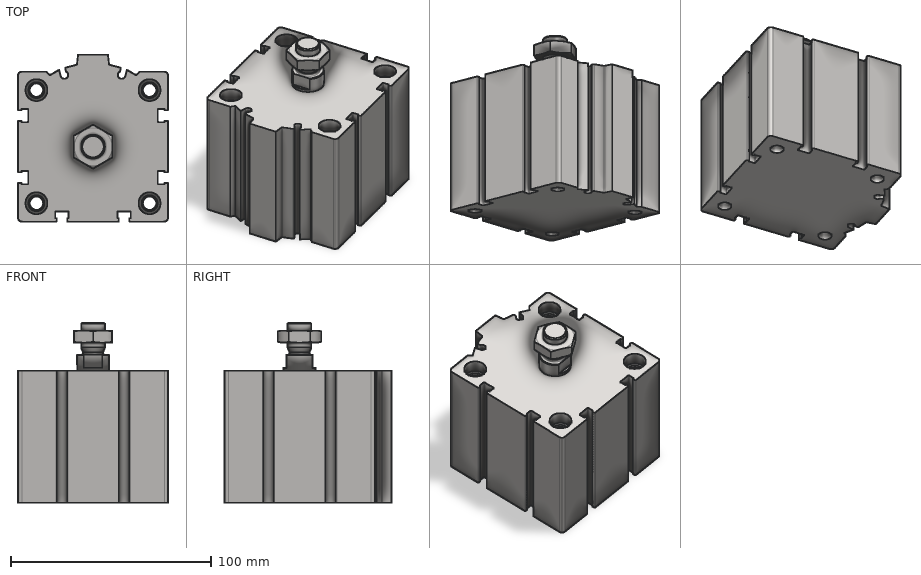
import cadquery as cq
import math

block_width = 75.0
half_width = block_width / 2
block_height = 66.0
rail_top_y = 46.0
corner_radius = 2.0

slot_offset = 15.5
slot_depth = 5.1
slot_inner_width = 6.5
slot_mouth_width = 5.2
slot_lip_depth = 1.8
slot_lip_radius = 0.4
slot_lip_back_radius = 0.3
slot_floor_radius = 0.3

rail_top_half_width = 7.5
rail_foot_half_width = 8.1
rail_foot_y = 41.0
rail_foot_radius = 0.5
shoulder_angle = math.radians(15)

groove_center_x = 14.3
groove_center_y = 35.8
groove_radius = 1.85
groove_mouth_width = 3.0
groove_length = 6.0
groove_lip_radius = 0.5

land_angle = math.radians(30)
notch_bottom_x = 21.6
notch_bottom_y = 35.7

bolt_spacing = 56.5
bolt_head_diameter = 11.0
bolt_head_depth = 6.8
thread_entry_diameter = 8.0
bolt_hole_diameter = 6.65

collar_diameter = 16.0
collar_height = 8.0
collar_chamfer = 0.3
flat_width = 13.0
flat_base_height = 1.4
neck_diameter = 10.2
neck_height = 1.25
neck_fillet = 0.65
taper_height = 2.35
thread_diameter = 12.0
thread_tip_diameter = 10.65
rod_length = 24.0

nut_sides = 6
nut_width = 19.0
nut_height = 6.0
nut_base_z = block_height + 14.0
nut_chamfer_angle = math.radians(15)


def block_outline():
    """Plate with the rail, shoulders, lands and V notches on its +Y side."""
    shoulder_end_y = rail_foot_y - (groove_center_x - rail_foot_half_width) * math.tan(shoulder_angle)
    land_inner_y = notch_bottom_y + (notch_bottom_x - groove_center_x) * math.tan(land_angle)
    notch_top_x = notch_bottom_x + half_width - notch_bottom_y
    right_side = [
        (rail_top_half_width, rail_top_y),
        (rail_foot_half_width, rail_foot_y),
        (groove_center_x, shoulder_end_y),
        (groove_center_x, land_inner_y),
        (notch_bottom_x, notch_bottom_y),
        (notch_top_x, half_width),
        (half_width, half_width),
        (half_width, -half_width),
    ]
    left_side = [(-x, y) for x, y in reversed(right_side)]
    return cq.Workplane("XY").polyline(right_side + left_side).close()


def fillet_edges_at(body, points, radius):
    """Round the vertical edges that pass through the given points."""
    reach = 0.05
    for x, y in points:
        box = cq.selectors.BoxSelector((x - reach, y - reach, -1), (x + reach, y + reach, block_height + 1))
        body = body.edges("|Z").edges(box).fillet(radius)
    return body


def t_slot(side_angle, offset):
    """Cutter for one T-slot, in the side whose outward normal is at side_angle from +X."""
    lip_x = half_width - slot_lip_depth
    floor_x = half_width - slot_depth
    mouth = slot_mouth_width / 2
    inner = slot_inner_width / 2
    r = slot_lip_radius
    flare = mouth + r
    bend = r * (1 - math.sqrt(0.5))
    cutter = (
        cq.Workplane("XY")
        .moveTo(floor_x, -inner)
        .lineTo(lip_x, -inner)
        .lineTo(lip_x, -mouth)
        .lineTo(half_width - r, -mouth)
        .threePointArc((half_width - bend, -mouth - bend), (half_width, -flare))
        .lineTo(half_width, flare)
        .threePointArc((half_width - bend, mouth + bend), (half_width - r, mouth))
        .lineTo(lip_x, mouth)
        .lineTo(lip_x, inner)
        .lineTo(floor_x, inner)
        .close()
        .extrude(block_height)
    )
    cutter = fillet_edges_at(cutter, [(lip_x, -mouth), (lip_x, mouth)], slot_lip_back_radius)
    cutter = fillet_edges_at(cutter, [(floor_x, -inner), (floor_x, inner)], slot_floor_radius)
    return cutter.translate((0, offset, 0)).rotate((0, 0, 0), (0, 0, 1), side_angle)


def sensor_groove():
    """Cutter for the keyhole groove in the +X half; its outer wall is tangent to the round bottom."""
    inner_wall = groove_radius - groove_mouth_width
    bore = cq.Workplane("XY").circle(groove_radius).extrude(block_height)
    mouth = (
        cq.Workplane("XY")
        .center(groove_radius - groove_mouth_width / 2, groove_length / 2)
        .rect(groove_mouth_width, groove_length)
        .extrude(block_height)
    )
    throat = (inner_wall, math.sqrt(groove_radius**2 - inner_wall**2))
    cutter = fillet_edges_at(bore.union(mouth), [throat], groove_lip_radius)
    cutter = cutter.rotate((0, 0, 0), (0, 0, 1), -math.degrees(shoulder_angle))
    return cutter.translate((groove_center_x, groove_center_y, 0))


def groove_lip_tip():
    """Point in the +X half where the groove's inner wall meets the sloped shoulder."""
    sine = math.sin(shoulder_angle)
    cosine = math.cos(shoulder_angle)
    across = groove_radius - groove_mouth_width
    along = (rail_foot_half_width - groove_center_x) * sine + (rail_foot_y - groove_center_y) * cosine
    x = groove_center_x + across * cosine + along * sine
    y = groove_center_y - across * sine + along * cosine
    return x, y


def bolt_hole_cutter():
    """Through hole with a counterbore and a 45 degree thread entry below it."""
    head = bolt_head_diameter / 2
    entry = thread_entry_diameter / 2
    hole = bolt_hole_diameter / 2
    floor_z = block_height - bolt_head_depth
    profile = [
        (0, 0),
        (hole, 0),
        (hole, floor_z - (entry - hole)),
        (entry, floor_z),
        (head, floor_z),
        (head, block_height),
        (0, block_height),
    ]
    return cq.Workplane("XZ").polyline(profile).close().revolve(360, (0, 0), (0, 1))


def make_block():
    block = block_outline().extrude(block_height)
    corners = [(x, y) for x in (-half_width, half_width) for y in (-half_width, half_width)]
    block = fillet_edges_at(block, corners, corner_radius)
    rail_feet = [(side * rail_foot_half_width, rail_foot_y) for side in (-1, 1)]
    block = fillet_edges_at(block, rail_feet, rail_foot_radius)

    for side_angle in (0, 180, 270):
        for offset in (-slot_offset, slot_offset):
            block = block.cut(t_slot(side_angle, offset))

    groove = sensor_groove()
    block = block.cut(groove).cut(groove.mirror("YZ"))
    tip_x, tip_y = groove_lip_tip()
    block = fillet_edges_at(block, [(-tip_x, tip_y), (tip_x, tip_y)], groove_lip_radius)

    bolt = bolt_hole_cutter()
    for x in (-bolt_spacing / 2, bolt_spacing / 2):
        for y in (-bolt_spacing / 2, bolt_spacing / 2):
            block = block.cut(bolt.translate((x, y, 0)))
    return block


def make_rod():
    """Turned rod end standing on the block, with two wrench flats on its collar."""
    collar = collar_diameter / 2
    neck = neck_diameter / 2
    thread = thread_diameter / 2
    tip = thread_tip_diameter / 2
    neck_top = collar_height + neck_height
    fillet_bend = neck_fillet * (1 - math.sqrt(0.5))
    rod = (
        cq.Workplane("XZ")
        .lineTo(collar, 0)
        .lineTo(collar, collar_height - collar_chamfer)
        .lineTo(collar - collar_chamfer, collar_height)
        .lineTo(neck + neck_fillet, collar_height)
        .threePointArc(
            (neck + fillet_bend, collar_height + fillet_bend),
            (neck, collar_height + neck_fillet),
        )
        .lineTo(neck, neck_top)
        .lineTo(thread, neck_top + taper_height)
        .lineTo(thread, rod_length - (thread - tip))
        .lineTo(tip, rod_length)
        .lineTo(0, rod_length)
        .close()
        .revolve(360, (0, 0), (0, 1))
    )
    flat_height = collar_height - flat_base_height
    for side in (-1, 1):
        flat = (
            cq.Workplane("XY")
            .box(collar_diameter, collar_diameter, flat_height, centered=(True, True, False))
            .translate((0, side * (flat_width + collar_diameter) / 2, flat_base_height))
        )
        rod = rod.cut(flat)
    return rod.translate((0, 0, block_height))


def make_nut():
    """Hexagon nut with corners chamfered at both ends, two flats facing +X and -X."""
    corner_diameter = nut_width / math.cos(math.pi / nut_sides)
    corner = corner_diameter / 2
    face = nut_width / 2
    drop = (corner - face) * math.tan(nut_chamfer_angle)
    hexagon = cq.Workplane("XY").polygon(nut_sides, corner_diameter).extrude(nut_height)
    hexagon = hexagon.rotate((0, 0, 0), (0, 0, 1), 180 / nut_sides)
    profile = [
        (0, 0),
        (face, 0),
        (corner, drop),
        (corner, nut_height - drop),
        (face, nut_height),
        (0, nut_height),
    ]
    envelope = cq.Workplane("XZ").polyline(profile).close().revolve(360, (0, 0), (0, 1))
    bore = cq.Workplane("XY").circle(thread_diameter / 2).extrude(nut_height)
    return hexagon.intersect(envelope).cut(bore).translate((0, 0, nut_base_z))


block = make_block()
rod = make_rod()
nut = make_nut()

result = cq.Compound.makeCompound([block.val(), rod.val(), nut.val()])